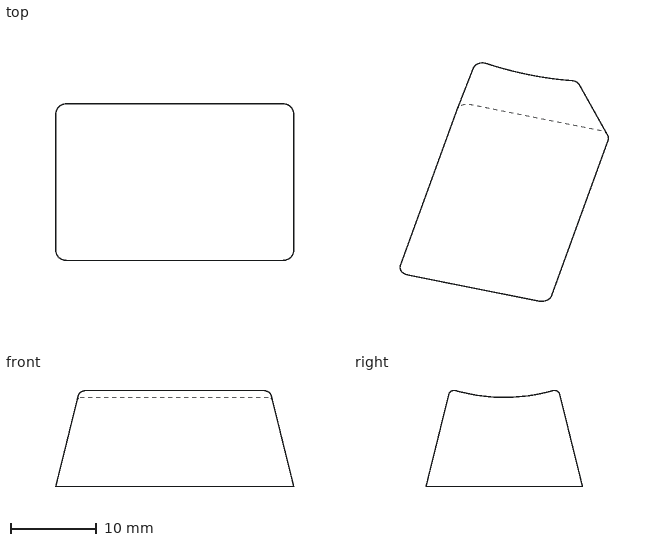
import cadquery as cq

base_length = 27.82
base_width = 18.3
height = 11.25
draft_angle = 13.9
corner_radius = 1.3
rim_radius = 0.58

dish_depth = 0.8
dish_half_width = 5.7
dish_radius = (dish_half_width**2 + dish_depth**2) / (2 * dish_depth)
dish_axis_height = height - dish_depth + dish_radius

rim_search_height = 3 * height / 4


def tapered_body():
    """Block whose walls lean inwards, with rounded sloping corners."""
    block = cq.Workplane("XY").rect(base_length, base_width).extrude(height, taper=draft_angle)
    sloping_edges = block.edges("not(|X or |Y)")
    return sloping_edges.fillet(corner_radius)


def dish_cutter():
    """Cylinder that scoops the finger dish across the full length."""
    return (
        cq.Workplane("YZ")
        .center(0, dish_axis_height)
        .circle(dish_radius)
        .extrude(base_length, both=True)
    )


def round_rim(body):
    """Round the outer loop of the top, leaving the straight dish edges sharp."""
    rim_zone = cq.selectors.BoxSelector(
        (-base_length, -base_width, rim_search_height),
        (base_length, base_width, 2 * height),
    )
    dish_edge_zone = cq.selectors.BoxSelector(
        (-rim_radius, -dish_half_width - rim_radius / 2, rim_search_height),
        (rim_radius, dish_half_width + rim_radius / 2, 2 * height),
    )
    return body.edges(rim_zone - dish_edge_zone).fillet(rim_radius)


result = round_rim(tapered_body().cut(dish_cutter()))